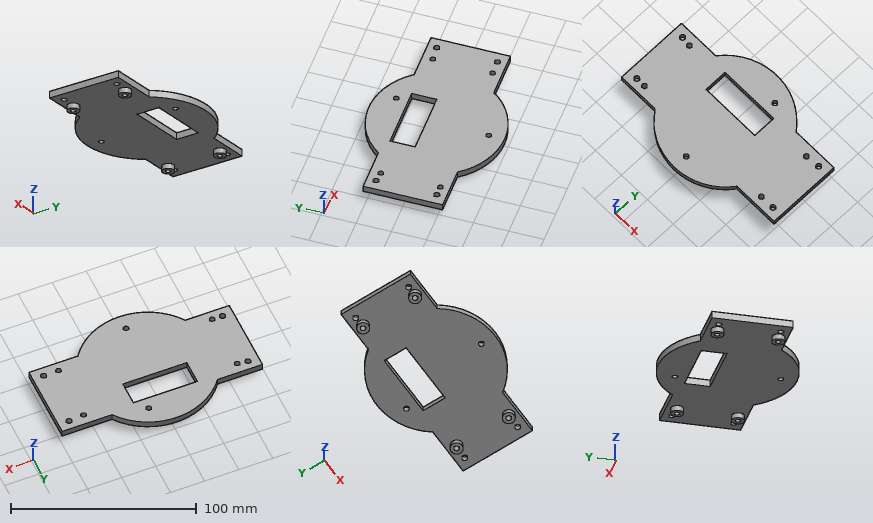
import cadquery as cq


plate_thickness = 4.0
disc_radius = 38.5
rectangle_length = 117.59
rectangle_width = 45.0
rectangle_center = (1.4, 0.4)

window_length = 37.5
window_width = 14.2
window_center = (-1.75, 12.6)

end_hole_diameter = 3.2
end_hole_spacing_x = 105.0
end_hole_spacing_y = 34.4

standoff_height = 3.0
standoff_diameter = 7.0
standoff_bore = 3.0
standoff_spacing_x = 90.2
standoff_spacing_y = 33.8

disc_hole_diameter = 3.0
disc_hole_centers = [(11.0, 26.5), (0.0, -29.5)]


def corner_points(spacing_x, spacing_y, center=(0.0, 0.0)):
    """Corners of a rectangle with the given spacings about a centre."""
    return [
        (center[0] + side_x * spacing_x / 2, center[1] + side_y * spacing_y / 2)
        for side_x in (-1, 1)
        for side_y in (-1, 1)
    ]


def cylinders(points, diameter, bottom, top):
    """Vertical cylinders at the given points between two heights."""
    return (
        cq.Workplane("XY")
        .workplane(offset=bottom)
        .pushPoints(points)
        .circle(diameter / 2)
        .extrude(top - bottom)
    )


def make_plate():
    """Disc and rectangle joined, with the window cut through."""
    disc = cq.Workplane("XY").circle(disc_radius).extrude(plate_thickness)
    rectangle = (
        cq.Workplane("XY")
        .center(*rectangle_center)
        .rect(rectangle_length, rectangle_width)
        .extrude(plate_thickness)
    )
    window = (
        cq.Workplane("XY")
        .center(*window_center)
        .rect(window_length, window_width)
        .extrude(plate_thickness)
    )
    return disc.union(rectangle).cut(window)


end_hole_centers = corner_points(end_hole_spacing_x, end_hole_spacing_y, rectangle_center)
standoff_centers = corner_points(standoff_spacing_x, standoff_spacing_y)

standoffs = cylinders(standoff_centers, standoff_diameter, -standoff_height, 0.0)
standoff_bores = cylinders(standoff_centers, standoff_bore, -standoff_height, plate_thickness)
end_holes = cylinders(end_hole_centers, end_hole_diameter, 0.0, plate_thickness)
disc_holes = cylinders(disc_hole_centers, disc_hole_diameter, 0.0, plate_thickness)

result = make_plate().union(standoffs).cut(standoff_bores).cut(end_holes).cut(disc_holes)